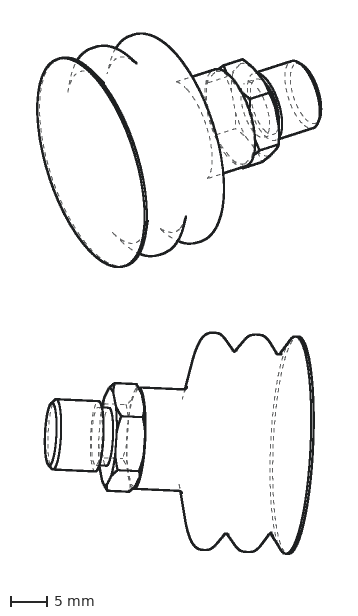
import cadquery as cq
import math

total_length = 34.0

cup_radius = 15.0
lip_thickness = 0.37
lower_valley_y = 2.65
lower_valley_radius = 11.8
lower_crest_start = 4.95
lower_crest_end = 6.53
upper_valley_y = 8.85
upper_valley_radius = 12.15
upper_crest_start = 11.15
upper_crest_end = 12.75
collar_radius = 7.0
collar_start = 15.03

crest_fillet = 1.0
lower_valley_fillet = 0.8
upper_valley_fillet = 0.78
collar_fillet = 1.02

hex_start = 22.03
hex_end = 26.0
hex_across_flats = 13.0
hex_turn = -9.0
hex_face_radius = 6.65
hex_chamfer_angle = 30.0
undercut_radius = 8.0 / 2
thread_start = 27.5
thread_radius = 9.72 / 2
thread_chamfer = 0.55


def cylinder(radius, start, end):
    """Cylinder along +Y between two heights."""
    return cq.Workplane("XZ", origin=(0, start, 0)).circle(radius).extrude(start - end)


def make_bellows():
    """Revolved bellows and collar with every fold rounded."""
    profile = [
        (0, 0),
        (cup_radius, 0),
        (cup_radius, lip_thickness),
        (lower_valley_radius, lower_valley_y),
        (cup_radius, lower_crest_start),
        (cup_radius, lower_crest_end),
        (upper_valley_radius, upper_valley_y),
        (cup_radius, upper_crest_start),
        (cup_radius, upper_crest_end),
        (collar_radius, collar_start),
        (collar_radius, hex_start),
        (0, hex_start),
    ]
    body = cq.Workplane("XY").polyline(profile).close().revolve(360, (0, 0, 0), (0, 1, 0))

    folds = [
        (lower_valley_y, lower_valley_fillet),
        (lower_crest_start, crest_fillet),
        (lower_crest_end, crest_fillet),
        (upper_valley_y, upper_valley_fillet),
        (upper_crest_start, crest_fillet),
        (upper_crest_end, crest_fillet),
        (collar_start, collar_fillet),
    ]
    tolerance = 0.05
    for height, radius in folds:
        low_corner = (-total_length, height - tolerance, -total_length)
        high_corner = (total_length, height + tolerance, total_length)
        fold_edge = cq.selectors.BoxSelector(low_corner, high_corner)
        body = body.edges("%CIRCLE").edges(fold_edge).fillet(radius)
    return body


def make_hex():
    """Hexagon with its corners cut back by a cone at both ends."""
    corner_diameter = hex_across_flats / math.cos(math.radians(30))
    prism = (
        cq.Workplane("XZ", origin=(0, hex_start, 0))
        .transformed(rotate=(0, 0, hex_turn))
        .polygon(6, corner_diameter)
        .extrude(hex_start - hex_end)
    )
    corner_radius = corner_diameter / 2 + 0.05
    chamfer_width = corner_radius - hex_face_radius
    chamfer_height = chamfer_width * math.tan(math.radians(hex_chamfer_angle))
    envelope_profile = [
        (0, hex_start),
        (hex_face_radius, hex_start),
        (corner_radius, hex_start + chamfer_height),
        (corner_radius, hex_end - chamfer_height),
        (hex_face_radius, hex_end),
        (0, hex_end),
    ]
    envelope = cq.Workplane("XY").polyline(envelope_profile).close().revolve(360, (0, 0, 0), (0, 1, 0))
    return prism.intersect(envelope)


def make_thread():
    """Plain threaded stud with a chamfered end, standing on its undercut."""
    undercut = cylinder(undercut_radius, hex_end, thread_start)
    stud = cylinder(thread_radius, thread_start, total_length).faces(">Y").chamfer(thread_chamfer)
    return undercut.union(stud)


result = make_bellows().union(make_hex()).union(make_thread())